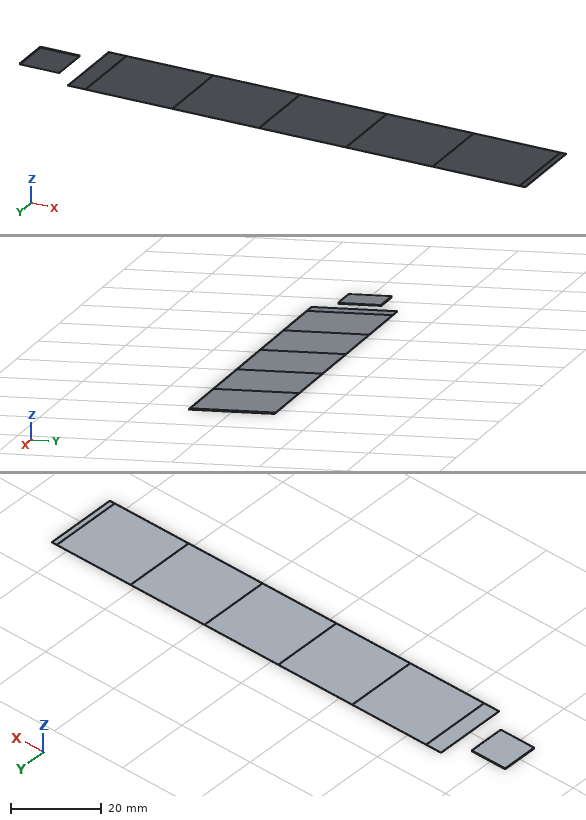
import cadquery as cq

total_length = 128.8
strip_width = 19.6

strip_thickness = 0.1
panel_count = 5
panels_length = 108.5
left_end_length = 4.4
right_end_length = 1.4

plate_side = strip_width / 2
plate_thickness = 0.3

plate_left = -total_length / 2
strip_right = total_length / 2
panels_right = strip_right - right_end_length
panels_left = panels_right - panels_length
panel_length = panels_length / panel_count
strip_left = panels_left - left_end_length


def make_slab(left, length, width, thickness):
    """Flat slab standing on Z = 0, centred on Y = 0, starting at X = left."""
    return (
        cq.Workplane("XY")
        .box(length, width, thickness, centered=(False, True, False))
        .translate((left, 0, 0))
    )


def make_square_plate():
    return make_slab(plate_left, plate_side, plate_side, plate_thickness)


def make_left_end():
    return make_slab(strip_left, left_end_length, strip_width, strip_thickness)


def make_panel(index):
    left = panels_left + index * panel_length
    return make_slab(left, panel_length, strip_width, strip_thickness)


def make_right_end():
    return make_slab(panels_right, right_end_length, strip_width, strip_thickness)


square_plate = make_square_plate()
left_end = make_left_end()
panels = [make_panel(index) for index in range(panel_count)]
right_end = make_right_end()

result = cq.Compound.makeCompound([
    square_plate.val(),
    left_end.val(),
    *[panel.val() for panel in panels],
    right_end.val(),
])